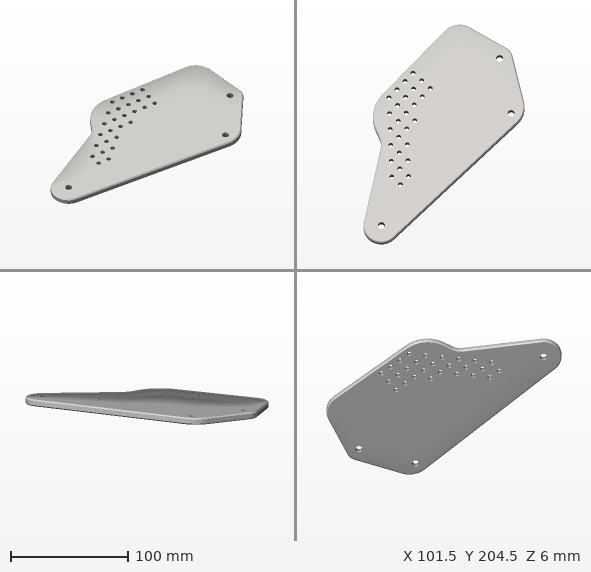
import cadquery as cq
import math

width = 101.5
length = 204.5
thickness = 6.0
edge_chamfer = 1.0

upper_left_radius = 16.8
top_radius = 11.2
right_radius = 20.0
foot_radius = 15.3
lower_left_radius = 29.2
notch_radius = 14.0

mount_diameter = 6.0
top_hole = (51.3, length - top_radius)
right_hole = (92.0, 164.0)
foot_hole = (79.5, foot_radius)

grid_diameter = 4.0
grid_pitch = 10.0
grid_start = (6.3, 133.3)
grid_rows = [(0, 2), (0, 2), (0, 2), (0, 3), (1, 3), (2, 4), (3, 5), (4, 6), (5, 6)]

corners = [
    ((upper_left_radius, 179.9), upper_left_radius),
    (top_hole, top_radius),
    ((width - right_radius, 162.5), right_radius),
    (foot_hole, foot_radius),
    ((19.8, 58.5), -notch_radius),
    ((lower_left_radius, 101.4), lower_left_radius),
]


def point_on(corner, angle):
    """Point of a corner circle along the outward direction at this angle."""
    (x, y), radius = corner
    return (x + radius * math.cos(angle), y + radius * math.sin(angle))


def tangent_angle(first, second):
    """Outward direction of the straight edge touching two successive corners."""
    (x1, y1), r1 = first
    (x2, y2), r2 = second
    heading = math.atan2(y2 - y1, x2 - x1)
    distance = math.hypot(x2 - x1, y2 - y1)
    return heading + math.acos((r1 - r2) / distance)


def plate():
    """Chamfered plate bounded by tangent edges and corner arcs."""
    count = len(corners)
    angles = [tangent_angle(corners[i], corners[(i + 1) % count]) for i in range(count)]
    outline = cq.Workplane("XY").moveTo(*point_on(corners[-1], angles[-1]))
    for i, corner in enumerate(corners):
        entry = angles[i - 1]
        turn = math.remainder(angles[i] - entry, 2 * math.pi)
        outline = outline.lineTo(*point_on(corner, entry))
        outline = outline.threePointArc(
            point_on(corner, entry + turn / 2), point_on(corner, angles[i])
        )
    body = outline.close().extrude(thickness)
    return body.faces("<Z or >Z").edges().chamfer(edge_chamfer)


def through_holes(centres, diameter):
    """Cylinders that cut holes through the plate."""
    return cq.Workplane("XY").pushPoints(centres).circle(diameter / 2).extrude(thickness)


grid_centres = [
    (grid_start[0] + column * grid_pitch, grid_start[1] - row * grid_pitch)
    for row, (first, last) in enumerate(grid_rows)
    for column in range(first, last + 1)
]

result = plate()
result = result.cut(through_holes([top_hole, right_hole, foot_hole], mount_diameter))
result = result.cut(through_holes(grid_centres, grid_diameter))